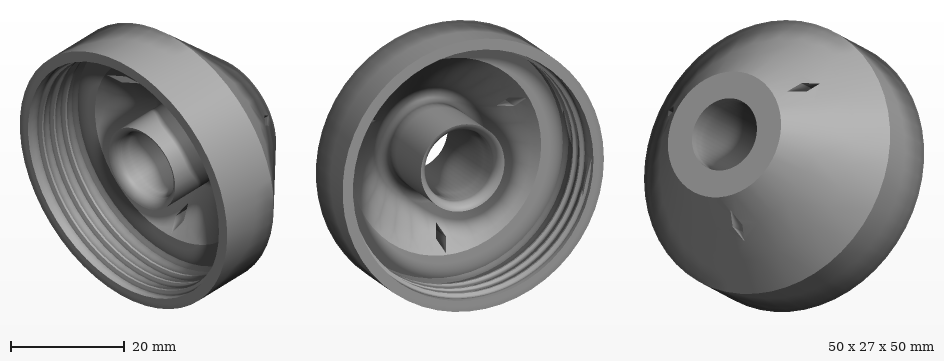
import cadquery as cq
import math

outer_radius = 25
total_length = 27
skirt_length = 12
nose_radius = 11.5

bore_radius = 23
thread_crest_radius = 22.25
bore_step = bore_radius - thread_crest_radius
thread_pitch = 3
thread_turns = 3
thread_start = 1.5
thread_root_width = 1.3
thread_crest_width = 0.4
thread_overlap = 0.1
thread_lead_in = 3.4

cavity_radius = 18.1
tube_radius = 8
hole_radius = 6.6
tube_end = 4.75
tube_root_fillet = 1.5
mouth_round_radius = 2

vent_count = 3
vent_inner_radius = 13.4
vent_outer_radius = 17.8
vent_width = 2


def revolved_body():
    """Half section in (radius, Y), revolved about the Y axis."""
    arc_center_radius = hole_radius + mouth_round_radius
    rim_angle = math.acos((arc_center_radius - tube_radius) / mouth_round_radius)
    arc_center_y = tube_end + mouth_round_radius * math.sin(rim_angle)
    diagonal = tube_root_fillet * math.sqrt(0.5)
    fillet_center_radius = tube_radius + tube_root_fillet
    cone_tangent_radius = fillet_center_radius + diagonal
    cone_tangent_y = skirt_length + cavity_radius - cone_tangent_radius
    fillet_center_y = cone_tangent_y - diagonal
    fillet_mid_angle = math.radians(112.5)
    fillet_middle = (
        fillet_center_radius + tube_root_fillet * math.cos(fillet_mid_angle),
        fillet_center_y + tube_root_fillet * math.sin(fillet_mid_angle),
    )
    round_middle = (
        arc_center_radius - mouth_round_radius * math.cos(rim_angle / 2),
        arc_center_y - mouth_round_radius * math.sin(rim_angle / 2),
    )
    return (
        cq.Workplane("XY")
        .moveTo(bore_radius, 0)
        .lineTo(outer_radius, 0)
        .lineTo(outer_radius, skirt_length)
        .lineTo(nose_radius, total_length)
        .lineTo(hole_radius, total_length)
        .lineTo(hole_radius, arc_center_y)
        .threePointArc(round_middle, (tube_radius, tube_end))
        .lineTo(tube_radius, fillet_center_y)
        .threePointArc(fillet_middle, (cone_tangent_radius, cone_tangent_y))
        .lineTo(cavity_radius, skirt_length)
        .lineTo(thread_crest_radius, skirt_length)
        .lineTo(bore_radius, skirt_length - bore_step)
        .close()
        .revolve(360, (0, 0, 0), (0, 1, 0))
    )


def thread_ridge():
    """Right-handed internal ridge, rooted slightly inside the skirt wall."""
    root_radius = bore_radius + thread_overlap
    half_root = thread_root_width / 2
    half_crest = thread_crest_width / 2
    helix = cq.Wire.makeHelix(thread_pitch, thread_pitch * thread_turns, bore_radius)
    ridge = (
        cq.Workplane("XZ")
        .polyline([
            (root_radius, -half_root),
            (thread_crest_radius, -half_crest),
            (thread_crest_radius, half_crest),
            (root_radius, half_root),
        ])
        .close()
        .sweep(cq.Workplane(obj=helix), isFrenet=True)
    )
    ridge = ridge.rotate((0, 0, 0), (1, 0, 0), -90).translate((0, thread_start, 0))
    thread_end = thread_start + thread_pitch * thread_turns
    ridge = ridge.cut(lead_in_cutter(thread_start, -1))
    return ridge.cut(lead_in_cutter(thread_end, 1))


def lead_in_cutter(end_y, z_direction):
    """Wedge that slopes one thread end from the bore wall up to its crest."""
    slope = thread_lead_in / bore_step
    clear_radius = thread_crest_radius - bore_step
    clear_height = slope * (bore_radius - clear_radius)
    return (
        cq.Workplane("XZ", origin=(0, end_y, 0))
        .polyline([
            (bore_radius, 0),
            (clear_radius, 0),
            (clear_radius, z_direction * clear_height),
        ])
        .close()
        .extrude(thread_pitch / 2, both=True)
    )


def vents():
    """Diamond prisms along Y, the first one directly below the axis."""
    middle_radius = (vent_inner_radius + vent_outer_radius) / 2
    vent = (
        cq.Workplane("XZ")
        .polyline([
            (0, -vent_inner_radius),
            (vent_width / 2, -middle_radius),
            (0, -vent_outer_radius),
            (-vent_width / 2, -middle_radius),
        ])
        .close()
        .extrude(-total_length)
    )
    cutters = cq.Workplane("XZ")
    for index in range(vent_count):
        cutters = cutters.add(vent.rotate((0, 0, 0), (0, 1, 0), index * 360 / vent_count))
    return cutters.combine()


result = revolved_body().cut(vents()).union(thread_ridge())